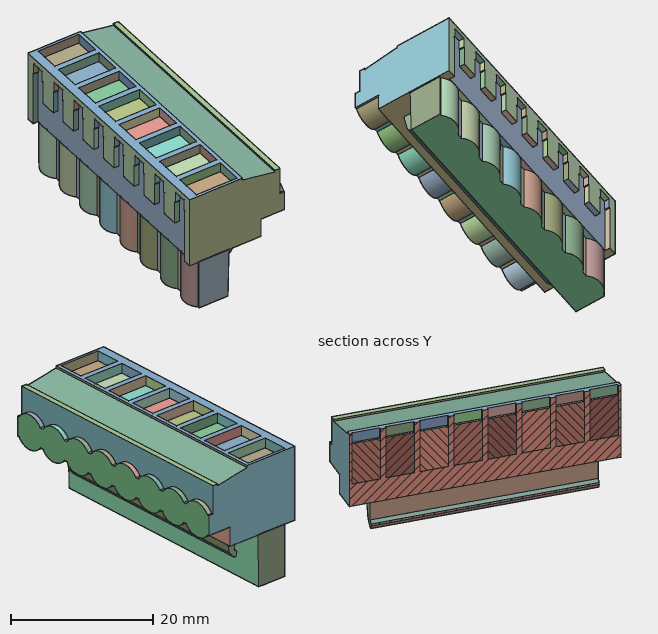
import cadquery as cq


LENGTH = 40.65
POLE_COUNT = 8
PITCH = LENGTH / POLE_COUNT
POLE_CENTRES = [(i + 0.5) * PITCH for i in range(POLE_COUNT)]

TOP_Z = 20.05
BODY_BOTTOM_Z = 8.35
REAR_Y = 16.1
WALL_REAR_Y = 15.32
STEP_Y = 12.1
LIP_FRONT_Y = 14.45
LIP_TOP_Z = 19.0
SLOPE_LOW_Z = 18.75
SLOPE_TOP_Y = 8.95
SLOPE_TOP_Z = 19.7

COLLAR_Z = 12.95
COLLAR_RADIUS = 2.75
BAR_HALF_HEIGHT = 1.6

POCKET_WIDTH = 4.2
POCKET_FRONT_Y = 1.45
POCKET_REAR_Y = 8.35
POCKET_OPEN_DEPTH = 1.55
CLAMP_HEIGHT = 6.5
CLAMP_TOP_Z = TOP_Z - POCKET_OPEN_DEPTH
CLAMP_BOTTOM_Z = CLAMP_TOP_Z - CLAMP_HEIGHT

PANEL_DEPTH = 0.8
BAND_TOP_Z = 13.55
TAB_STEP_Z = 17.25
TAB_TOP_Z = 19.05
TAB_WIDTH = 2.45
TAB_TIP_WIDTH = 2.1

PLUG_END_INSET = 0.15
PLUG_REAR_Y = 6.8
PLUG_REAR_TAPER = 0.15
PLUG_FLAT_Y = 1.7
COLUMN_FRONT_Y = 0.77
COLUMN_WIDTH = 4.25

LATCH_INSET = 3.25
LATCH_FRONT_Y = 8.45
LATCH_ROOT_Y = 10.05
LATCH_BEND_Y = 9.4
LATCH_BEND_Z = 5.12
LATCH_NOSE_Z = 5.35
LATCH_TIP_Y = 8.5
LATCH_TIP_Z = 4.1
NOSE_FRONT_Y = 7.95
NOSE_TOP_Z = 4.88
NOSE_LOW_Y = 8.15


def box(x_range, y_range, z_range):
    """Box between two limits along each axis."""
    (x0, x1), (y0, y1), (z0, z1) = x_range, y_range, z_range
    return cq.Workplane("XY").box(x1 - x0, y1 - y0, z1 - z0, centered=False).translate((x0, y0, z0))


def around(centre, width):
    """Limits of a span of the given width about a centre."""
    return centre - width / 2, centre + width / 2


def make_body():
    profile = [
        (0, BODY_BOTTOM_Z),
        (STEP_Y, BODY_BOTTOM_Z),
        (STEP_Y, COLLAR_Z),
        (WALL_REAR_Y, COLLAR_Z),
        (WALL_REAR_Y, LIP_TOP_Z),
        (LIP_FRONT_Y, LIP_TOP_Z),
        (LIP_FRONT_Y, SLOPE_LOW_Z),
        (SLOPE_TOP_Y, SLOPE_TOP_Z),
        (SLOPE_TOP_Y, TOP_Z),
        (0, TOP_Z),
    ]
    return cq.Workplane("YZ").polyline(profile).close().extrude(LENGTH)


def make_rear_collars():
    """Straight bar over the full length, with a round collar at each pole cut off at the ends."""
    y_range = (STEP_Y, REAR_Y)
    bar = box((0, LENGTH), y_range, around(COLLAR_Z, 2 * BAR_HALF_HEIGHT))
    end_limits = box((0, LENGTH), y_range, around(COLLAR_Z, 2 * COLLAR_RADIUS))
    for x in POLE_CENTRES:
        collar = (
            cq.Workplane("XZ", origin=(x, REAR_Y, COLLAR_Z))
            .circle(COLLAR_RADIUS)
            .extrude(REAR_Y - STEP_Y)
        )
        bar = bar.union(collar.intersect(end_limits))
    return bar


def make_plug():
    """Scalloped bar; its rear face leans forward towards the lower end."""
    outline = cq.Workplane("XY").moveTo(PLUG_END_INSET, PLUG_REAR_Y).lineTo(PLUG_END_INSET, PLUG_FLAT_Y)
    for x in POLE_CENTRES:
        column_start, column_end = around(x, COLUMN_WIDTH)
        outline = outline.lineTo(column_start, PLUG_FLAT_Y)
        outline = outline.threePointArc((x, COLUMN_FRONT_Y), (column_end, PLUG_FLAT_Y))
    outline = outline.lineTo(LENGTH - PLUG_END_INSET, PLUG_FLAT_Y)
    outline = outline.lineTo(LENGTH - PLUG_END_INSET, PLUG_REAR_Y)
    plug = outline.close().extrude(BODY_BOTTOM_Z)
    rear_wedge = (
        cq.Workplane("YZ")
        .polyline([(PLUG_REAR_Y, 0), (PLUG_REAR_Y - PLUG_REAR_TAPER, 0), (PLUG_REAR_Y, BODY_BOTTOM_Z)])
        .close()
        .extrude(LENGTH)
    )
    return plug.cut(rear_wedge)


def make_latch():
    return (
        cq.Workplane("YZ", origin=(LATCH_INSET, 0, 0))
        .moveTo(LATCH_ROOT_Y, BODY_BOTTOM_Z)
        .lineTo(LATCH_BEND_Y, LATCH_BEND_Z)
        .lineTo(LATCH_TIP_Y, LATCH_TIP_Z)
        .lineTo(NOSE_LOW_Y, LATCH_TIP_Z)
        .lineTo(NOSE_FRONT_Y, NOSE_TOP_Z)
        .lineTo(LATCH_FRONT_Y, LATCH_NOSE_Z)
        .lineTo(LATCH_FRONT_Y, BODY_BOTTOM_Z)
        .close()
        .extrude(LENGTH - 2 * LATCH_INSET)
    )


def make_panel_recess():
    y_range = (0, PANEL_DEPTH)
    panel_start = POLE_CENTRES[0] - TAB_WIDTH / 2
    panel_end = POLE_CENTRES[-1] + TAB_WIDTH / 2
    recess = box((panel_start, panel_end), y_range, (BODY_BOTTOM_Z, BAND_TOP_Z))
    for x in POLE_CENTRES:
        recess = recess.union(box(around(x, TAB_WIDTH), y_range, (BAND_TOP_Z, TAB_STEP_Z)))
        recess = recess.union(box(around(x, TAB_TIP_WIDTH), y_range, (TAB_STEP_Z, TAB_TOP_Z)))
    return recess


def pocket_fill(x, top_z):
    """Block filling one clamp pocket from its floor up to a height."""
    return box(around(x, POCKET_WIDTH), (POCKET_FRONT_Y, POCKET_REAR_Y), (CLAMP_BOTTOM_Z, top_z))


def make_housing():
    housing = make_body().union(make_rear_collars())
    housing = housing.cut(make_panel_recess())
    housing = housing.union(make_plug()).union(make_latch())
    for x in POLE_CENTRES:
        housing = housing.cut(pocket_fill(x, TOP_Z))
    return housing


def make_clamp(x):
    return pocket_fill(x, CLAMP_TOP_Z)


housing = make_housing()
clamps = [make_clamp(x) for x in POLE_CENTRES]

result = cq.Compound.makeCompound([housing.solids().val(), *[clamp.val() for clamp in clamps]])